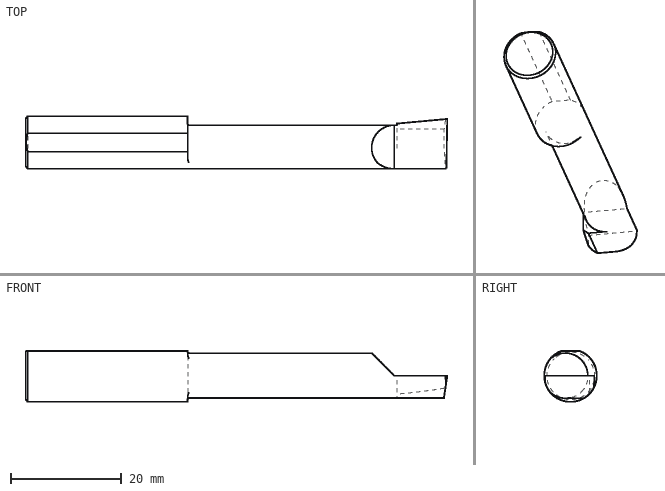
import cadquery as cq
import math

overall_length = 76.2
shank_length = 29.25
shank_diameter = 9.5
shank_radius = shank_diameter / 2
height_over_flat = 9.2
flat_height = height_over_flat - shank_radius
end_chamfer_length = 0.4
end_chamfer_depth = 0.45

neck_diameter = 8.15
neck_radius = neck_diameter / 2
neck_side = 3.1
neck_offset = neck_side - neck_radius
root_fillet = 0.3
half_section_start = 66.6
ramp_angle = 45.0

tip_start = 67.05
tip_edge_start = 3.4
tip_edge_end = 4.3
end_relief = 0.6
end_slant = 0.15
corner_chamfer = 0.2


def rod(radius, length, y=0.0):
    """Round bar along +X, starting at X = 0."""
    return cq.Workplane("YZ").center(y, 0).circle(radius).extrude(length)


def make_shank():
    shoulder_radius = shank_radius - end_chamfer_depth
    shank = (
        cq.Workplane("XY")
        .moveTo(0, 0)
        .lineTo(0, shoulder_radius)
        .lineTo(end_chamfer_length, shank_radius)
        .lineTo(shank_length, shank_radius)
        .lineTo(shank_length, 0)
        .close()
        .revolve(360, (0, 0, 0), (1, 0, 0))
    )
    above_flat = (
        cq.Workplane("XY", origin=(0, 0, flat_height))
        .rect(2 * shank_length, 2 * shank_radius)
        .extrude(shank_radius)
    )
    return shank.cut(above_flat)


def make_root_fillet():
    """Concave ring where the neck meets the shank shoulder."""
    bend = root_fillet * (1 - math.sqrt(0.5))
    return (
        cq.Workplane("XY")
        .moveTo(shank_length, neck_offset)
        .lineTo(shank_length, neck_side + root_fillet)
        .threePointArc(
            (shank_length + bend, neck_side + bend),
            (shank_length + root_fillet, neck_side),
        )
        .lineTo(shank_length + root_fillet, neck_offset)
        .close()
        .revolve(360, (0, neck_offset, 0), (1, neck_offset, 0))
        .intersect(rod(shank_radius, overall_length))
    )


def make_neck_and_tip():
    neck = rod(neck_radius, overall_length, neck_offset)
    tip = (
        cq.Workplane("XY")
        .polyline([
            (tip_start, neck_offset),
            (tip_start, tip_edge_start),
            (overall_length, tip_edge_end),
            (overall_length, neck_offset),
        ])
        .close()
        .extrude(-neck_radius)
    )
    return neck.union(tip).intersect(rod(shank_radius, overall_length))


def side_envelope():
    """Side profile past the shank: ramp down to the center plane and relieved end face."""
    ramp_length = neck_radius / math.tan(math.radians(ramp_angle))
    return (
        cq.Workplane("XZ", origin=(0, shank_radius, 0))
        .polyline([
            (shank_length, -neck_radius),
            (shank_length, neck_radius),
            (half_section_start - ramp_length, neck_radius),
            (half_section_start, 0),
            (overall_length, 0),
            (overall_length - end_relief, -neck_radius),
        ])
        .close()
        .extrude(2 * shank_radius)
    )


def end_envelope():
    """Plan outline: slanted cutting edge with a chamfered back corner."""
    back_x = overall_length - end_slant
    return (
        cq.Workplane("XY", origin=(0, 0, -neck_radius))
        .polyline([
            (0, -shank_radius),
            (back_x - corner_chamfer, -shank_radius),
            (back_x, -shank_radius + corner_chamfer),
            (overall_length, tip_edge_end),
            (overall_length, shank_radius),
            (0, shank_radius),
        ])
        .close()
        .extrude(2 * neck_radius)
    )


neck_and_tip = make_neck_and_tip().intersect(side_envelope()).intersect(end_envelope())
result = make_shank().union(neck_and_tip).union(make_root_fillet())